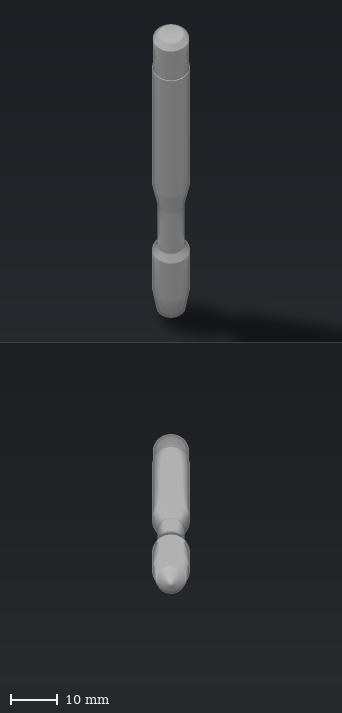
import cadquery as cq

total_length = 93.0

body_diameter = 8.1
drive_diameter = 7.7
neck_diameter = 5.7
lead_diameter = 6.2

lead_bottom = 3.2
lead_top = 9.5
guide_top = 22.1
shoulder_top = 24.0
joint_height = 24.5
neck_top = 37.0
shank_bottom = 43.9
drive_bottom = 82.3

end_chamfer = 1.2


def revolve_profile(points):
    """Revolve a closed (radius, height) outline about the Z axis."""
    return cq.Workplane("XZ").polyline(points).close().revolve(360, (0, 0), (0, 1))


def make_head():
    """Cutting head: pointed tip, tapered lead, guide cylinder, shoulder cone and neck stub."""
    return revolve_profile([
        (0, 0),
        (lead_diameter / 2, lead_bottom),
        (body_diameter / 2, lead_top),
        (body_diameter / 2, guide_top),
        (neck_diameter / 2, shoulder_top),
        (neck_diameter / 2, joint_height),
        (0, joint_height),
    ])


def make_shank():
    """Shank: slim neck, taper, main cylinder and drive end."""
    return revolve_profile([
        (0, joint_height),
        (neck_diameter / 2, joint_height),
        (neck_diameter / 2, neck_top),
        (body_diameter / 2, shank_bottom),
        (body_diameter / 2, drive_bottom),
        (drive_diameter / 2, drive_bottom),
        (drive_diameter / 2, total_length - end_chamfer),
        (drive_diameter / 2 - end_chamfer, total_length),
        (0, total_length),
    ])


head = make_head()
shank = make_shank()

result = cq.Compound.makeCompound([head.val(), shank.val()])